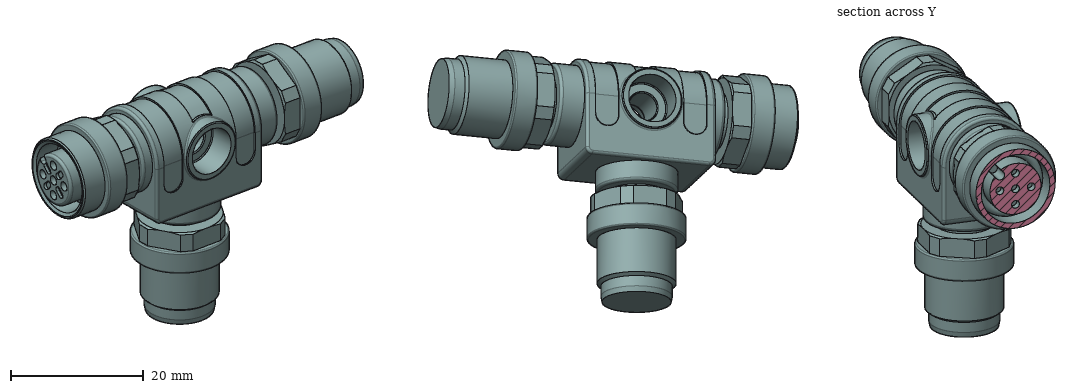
import cadquery as cq
import math


BODY_RADIUS = 7.2
BODY_HALF_LENGTH = 10.3
BODY_BOTTOM = 9.5
BODY_EDGE_FILLET = 0.45
BODY_CORNER_FILLET = 1.0

GROOVE_DEPTH = 0.3
GROOVE_WIDTH = 3.7
GROOVE_OFFSET = 7.0
GROOVE_END_CENTRE = 3.0

MOUNT_LENGTH = 15.4
MOUNT_DIAMETER = 9.5
MOUNT_FILLET = 0.2
MOUNT_RIM_CHAMFER = 0.15
MOUNT_HOLE_DIAMETER = 4.4
MOUNT_COUNTERBORE_DIAMETER = 7.5
MOUNT_COUNTERBORE_DEPTH = 4.5
MOUNT_HOLE_CHAMFER = 0.15

STUB_DIAMETER = 12.5
STUB_FILLET = 0.45
NECK_DIAMETER = 8.7
NECK_LENGTH = 0.95
MALE_STUB_END = 14.1
FEMALE_STUB_END = 12.15
DOWN_STUB_END = 12.65

HEX_ACROSS_FLATS = 13.1
HEX_ACROSS_CORNER_FLATS = 14.0
HEX_LENGTH = 3.0
HEX_FACE_DIAMETER = 13.15
HEX_CHAMFER_LENGTH = 0.3
COLLAR_DIAMETER = 15.0
COLLAR_LENGTH = 3.5
COLLAR_FILLET = 0.2

MALE_SLEEVE_DIAMETER = 12.0
MALE_SLEEVE_LENGTH = 6.95
MALE_CONE_LENGTH = 0.45
MALE_TIP_DIAMETER = 10.8
MALE_TIP_LENGTH = 1.6
MALE_END_DIAMETER = 10.5
MALE_END_LENGTH = 0.85

FEMALE_SLEEVE_DIAMETER = 12.8
FEMALE_SLEEVE_LENGTH = 4.05
FEMALE_RIM_CHAMFER = 0.2
MOUTH_DIAMETER = 12.0
MOUTH_DEPTH = 0.3
BORE_DIAMETER = 11.0
BORE_DEPTH = 4.5
INSERT_DIAMETER = 8.3
INSERT_PROTRUSION = 0.85
INSERT_FILLET = 0.45
KEYWAY_DIAMETER = 1.4
KEYWAY_CENTRE_RADIUS = 3.5
KEYWAY_ANGLE = 135
SOCKET_DIAMETER = 1.2
SOCKET_MOUTH_DIAMETER = 1.45
SOCKET_MOUTH_DEPTH = 1.1
SOCKET_CIRCLE_RADIUS = 2.5
SOCKET_DEPTH = 3.35
RECESS_WIDTH = 1.0
RECESS_INNER_RADIUS = 1.1
RECESS_OUTER_RADIUS = 3.0
RECESS_DEPTH = 0.5

TO_PLUS_Y = -90
TO_MINUS_Y = 90
TO_MINUS_Z = 180


def disc(diameter, start, length):
    """Cylinder on the Z axis from start to start + length."""
    return cq.Workplane("XY").workplane(offset=start).circle(diameter / 2).extrude(length)


def cone(start_diameter, end_diameter, start, length):
    """Truncated cone on the Z axis."""
    return (
        cq.Workplane("XZ")
        .moveTo(0, start)
        .lineTo(start_diameter / 2, start)
        .lineTo(end_diameter / 2, start + length)
        .lineTo(0, start + length)
        .close()
        .revolve(360, (0, 0, 0), (0, 1, 0))
    )


def disc_along_x(diameter, half_length):
    """Cylinder on the X axis, centred on the origin."""
    return cq.Workplane("YZ").circle(diameter / 2).extrude(half_length, both=True)


def turn_about_x(shape, angle):
    return shape.rotate((0, 0, 0), (1, 0, 0), angle)


def groove_cutter(centre_y):
    """Shallow band over the top and down both sides, with a round end below the axis."""
    reach = 2 * BODY_RADIUS
    core_radius = BODY_RADIUS - GROOVE_DEPTH
    band = (
        cq.Workplane("YZ")
        .center(centre_y, 0)
        .rect(GROOVE_WIDTH, 2 * GROOVE_END_CENTRE)
        .extrude(reach, both=True)
    )
    round_end = (
        cq.Workplane("YZ")
        .center(centre_y, -GROOVE_END_CENTRE)
        .circle(GROOVE_WIDTH / 2)
        .extrude(reach, both=True)
    )
    top = cq.Workplane("XY").box(2 * reach, GROOVE_WIDTH, reach, centered=(True, True, False))
    core_cylinder = turn_about_x(disc(2 * core_radius, -reach, 2 * reach), TO_PLUS_Y)
    core_block = (
        cq.Workplane("XY")
        .box(2 * core_radius, 2 * reach, reach, centered=(True, True, False))
        .translate((0, 0, -reach))
    )
    cutter = band.union(round_end).union(top.translate((0, centre_y, 0)))
    return cutter.cut(core_cylinder).cut(core_block)


def add_mount_bosses(block):
    """Round boss on each X side, blended into the block with a small fillet."""
    half_length = MOUNT_LENGTH / 2
    block = block.union(disc_along_x(MOUNT_DIAMETER, half_length))
    base_zone = cq.selectors.BoxSelector(
        (-half_length + MOUNT_RIM_CHAMFER, -MOUNT_DIAMETER / 2, -MOUNT_DIAMETER / 2),
        (half_length - MOUNT_RIM_CHAMFER, MOUNT_DIAMETER / 2, MOUNT_DIAMETER / 2),
    )
    block = block.edges(base_zone).edges("not %LINE").fillet(MOUNT_FILLET)
    return block.faces("<X or >X").edges().chamfer(MOUNT_RIM_CHAMFER)


def make_body():
    """Round-topped block with rounded edges, a boss on each X side and three grip grooves."""
    block = (
        cq.Workplane("XZ")
        .moveTo(BODY_RADIUS, 0)
        .threePointArc((0, BODY_RADIUS), (-BODY_RADIUS, 0))
        .lineTo(-BODY_RADIUS, -BODY_BOTTOM)
        .lineTo(BODY_RADIUS, -BODY_BOTTOM)
        .close()
        .extrude(BODY_HALF_LENGTH, both=True)
    )
    block = block.faces("<Z").edges("|X").fillet(BODY_CORNER_FILLET)
    block = block.faces("<Y or >Y").edges().fillet(BODY_EDGE_FILLET)
    block = add_mount_bosses(block)
    boss_keep_out = disc_along_x(MOUNT_DIAMETER + 2 * MOUNT_FILLET, MOUNT_LENGTH)
    for centre_y in (-GROOVE_OFFSET, 0, GROOVE_OFFSET):
        block = block.cut(groove_cutter(centre_y).cut(boss_keep_out))
    return block


def make_stub(stub_end):
    """Round stub that starts inside the body, with the thinner neck on its end."""
    stub = disc(STUB_DIAMETER, 0, stub_end).faces(">Z").edges().fillet(STUB_FILLET)
    return stub.union(disc(NECK_DIAMETER, stub_end, NECK_LENGTH))


def hexagon(across_flats, angle):
    """Hexagonal prism as long as the nut flats, turned about Z by angle."""
    across_corners = across_flats / math.cos(math.radians(30))
    prism = cq.Workplane("XY").polygon(6, across_corners).extrude(HEX_LENGTH)
    return prism.rotate((0, 0, 0), (0, 0, 1), angle)


def make_nut(start):
    """Hexagon with flattened corners and a bevelled face, followed by a round collar."""
    bevel_end_diameter = COLLAR_DIAMETER - 2 * COLLAR_FILLET
    bevel = cone(HEX_FACE_DIAMETER, bevel_end_diameter, 0, HEX_CHAMFER_LENGTH)
    envelope = bevel.union(disc(bevel_end_diameter, HEX_CHAMFER_LENGTH, HEX_LENGTH))
    prism = hexagon(HEX_ACROSS_FLATS, 30).intersect(hexagon(HEX_ACROSS_CORNER_FLATS, 0))
    collar = disc(COLLAR_DIAMETER, HEX_LENGTH, COLLAR_LENGTH).edges().fillet(COLLAR_FILLET)
    return prism.intersect(envelope).union(collar).translate((0, 0, start))


def make_male_arm(stub_end):
    """Stub, coupling nut and stepped plug that narrows to its tip."""
    nut_start = stub_end + NECK_LENGTH
    sleeve_start = nut_start + HEX_LENGTH + COLLAR_LENGTH
    cone_start = sleeve_start + MALE_SLEEVE_LENGTH
    tip_start = cone_start + MALE_CONE_LENGTH
    end_start = tip_start + MALE_TIP_LENGTH
    return (
        make_stub(stub_end)
        .union(make_nut(nut_start))
        .union(disc(MALE_SLEEVE_DIAMETER, sleeve_start, MALE_SLEEVE_LENGTH))
        .union(cone(MALE_SLEEVE_DIAMETER, MALE_TIP_DIAMETER, cone_start, MALE_CONE_LENGTH))
        .union(disc(MALE_TIP_DIAMETER, tip_start, MALE_TIP_LENGTH))
        .union(cone(MALE_TIP_DIAMETER, MALE_END_DIAMETER, end_start, MALE_END_LENGTH))
    )


def make_insert(base, tip):
    """Contact carrier with a keyway, five sockets and four diagonal recesses."""
    insert = disc(INSERT_DIAMETER, base, tip - base).faces(">Z").edges().fillet(INSERT_FILLET)

    keyway = (
        cq.Workplane("XY")
        .workplane(offset=base)
        .center(KEYWAY_CENTRE_RADIUS + KEYWAY_DIAMETER / 2, 0)
        .slot2D(2 * KEYWAY_DIAMETER, KEYWAY_DIAMETER)
        .extrude(tip - base)
        .rotate((0, 0, 0), (0, 0, 1), KEYWAY_ANGLE)
    )
    insert = insert.cut(keyway)

    socket = disc(SOCKET_DIAMETER, tip - SOCKET_DEPTH, SOCKET_DEPTH).union(
        disc(SOCKET_MOUTH_DIAMETER, tip - SOCKET_MOUTH_DEPTH, SOCKET_MOUTH_DEPTH)
    )
    insert = insert.cut(socket)
    recess = (
        cq.Workplane("XY")
        .workplane(offset=tip - RECESS_DEPTH)
        .center((RECESS_INNER_RADIUS + RECESS_OUTER_RADIUS) / 2, 0)
        .slot2D(RECESS_OUTER_RADIUS - RECESS_INNER_RADIUS, RECESS_WIDTH)
        .extrude(RECESS_DEPTH)
    )
    for quarter in range(4):
        angle = 90 * quarter
        outer_socket = socket.translate((SOCKET_CIRCLE_RADIUS, 0, 0))
        insert = insert.cut(outer_socket.rotate((0, 0, 0), (0, 0, 1), angle))
        insert = insert.cut(recess.rotate((0, 0, 0), (0, 0, 1), angle + 45))
    return insert


def make_female_arm(stub_end):
    """Stub, coupling nut and hollow sleeve with a sealing ring and a contact insert."""
    nut_start = stub_end + NECK_LENGTH
    sleeve_start = nut_start + HEX_LENGTH + COLLAR_LENGTH
    sleeve_end = sleeve_start + FEMALE_SLEEVE_LENGTH
    bore_floor = sleeve_end - BORE_DEPTH

    sleeve = disc(FEMALE_SLEEVE_DIAMETER, sleeve_start, FEMALE_SLEEVE_LENGTH)
    sleeve = sleeve.faces(">Z").edges().chamfer(FEMALE_RIM_CHAMFER)
    arm = make_stub(stub_end).union(make_nut(nut_start)).union(sleeve)
    arm = arm.cut(disc(BORE_DIAMETER, bore_floor, BORE_DEPTH))
    arm = arm.cut(cone(BORE_DIAMETER, MOUTH_DIAMETER, sleeve_end - MOUTH_DEPTH, MOUTH_DEPTH))

    ring_section_radius = (BORE_DIAMETER - INSERT_DIAMETER) / 4
    ring_centre_radius = (BORE_DIAMETER + INSERT_DIAMETER) / 4
    ring = (
        cq.Workplane("XZ")
        .center(ring_centre_radius, bore_floor)
        .circle(ring_section_radius)
        .revolve(360, (-ring_centre_radius, 0, 0), (-ring_centre_radius, 1, 0))
    )
    return arm.union(ring).union(make_insert(bore_floor, sleeve_end + INSERT_PROTRUSION))


def cut_mount_hole(solid):
    """Through hole with a counterbore from each X side, leaving a chamfered web in the middle."""
    web_half = MOUNT_LENGTH / 2 - MOUNT_COUNTERBORE_DEPTH
    solid = solid.cut(disc_along_x(MOUNT_HOLE_DIAMETER, MOUNT_LENGTH / 2))
    counterbore = (
        cq.Workplane("YZ")
        .workplane(offset=web_half)
        .circle(MOUNT_COUNTERBORE_DIAMETER / 2)
        .extrude(MOUNT_COUNTERBORE_DEPTH)
        .faces("<X")
        .edges()
        .chamfer(MOUNT_HOLE_CHAMFER)
    )
    mouth = (
        cq.Workplane("YZ")
        .workplane(offset=web_half - MOUNT_HOLE_CHAMFER)
        .circle(MOUNT_HOLE_DIAMETER / 2)
        .workplane(offset=MOUNT_HOLE_CHAMFER)
        .circle(MOUNT_HOLE_DIAMETER / 2 + MOUNT_HOLE_CHAMFER)
        .loft()
    )
    side_cutter = counterbore.union(mouth)
    return solid.cut(side_cutter).cut(side_cutter.mirror("YZ"))


result = (
    make_body()
    .union(turn_about_x(make_male_arm(MALE_STUB_END), TO_PLUS_Y))
    .union(turn_about_x(make_male_arm(DOWN_STUB_END), TO_MINUS_Z))
    .union(turn_about_x(make_female_arm(FEMALE_STUB_END), TO_MINUS_Y))
)
result = cut_mount_hole(result)